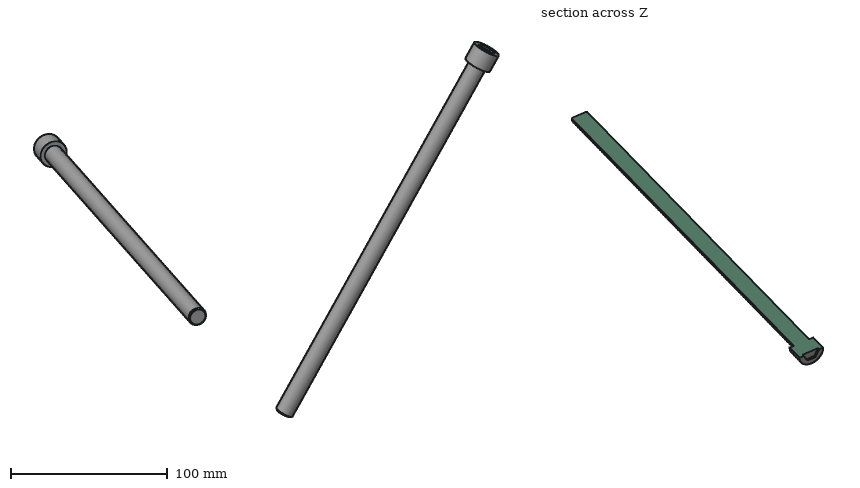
import cadquery as cq
import math

total_length = 272.0
shank_diameter = 12.0
head_diameter = 18.0
head_height = shank_diameter
socket_width = 10.0
socket_depth = 1.4
tip_chamfer = 0.8

head_face_x = -total_length / 2


def rod_along_x(start_x, length, diameter):
    """Solid cylinder running in +X from start_x."""
    return cq.Workplane("YZ", origin=(start_x, 0, 0)).circle(diameter / 2).extrude(length)


head = rod_along_x(head_face_x, head_height, head_diameter)
shank = rod_along_x(head_face_x, total_length, shank_diameter).faces(">X").chamfer(tip_chamfer)

socket_corner_diameter = socket_width / math.cos(math.pi / 6)
socket = (
    cq.Workplane("YZ", origin=(head_face_x, 0, 0))
    .polygon(6, socket_corner_diameter)
    .extrude(socket_depth)
)

result = head.union(shank).cut(socket)